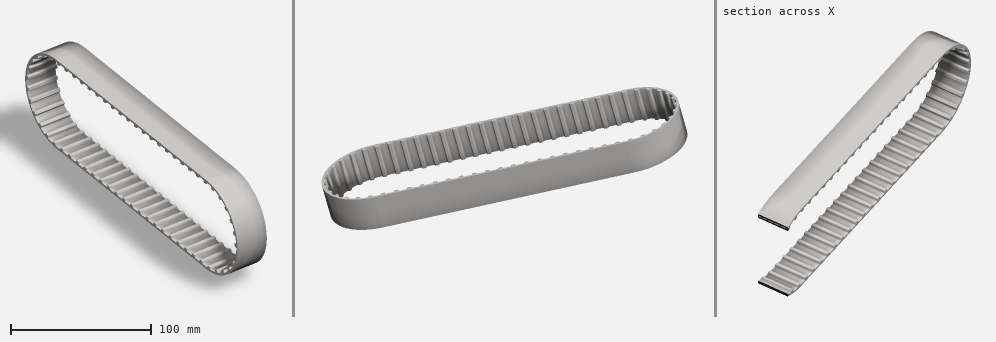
import cadquery as cq
import math

LENGTH = 261.3
HEIGHT = 76.3
WIDTH = 25.3
BACKING = 1.7

TOOTH_COUNT = 63
TOOTH_HEIGHT = 1.9
TOOTH_ROOT_WIDTH = 4.0
TOOTH_FLANK_ANGLE = 20.0
TOOTH_FILLET = 0.5
FOOT_DEPTH = 0.8
FOOT_MARGIN = 1.0

outer_radius = HEIGHT / 2
inner_radius = outer_radius - BACKING
run_length = LENGTH - HEIGHT
half_run = run_length / 2
arc_length = math.pi * inner_radius
pitch = (2 * run_length + 2 * arc_length) / TOOTH_COUNT


def stadium(radius):
    """Solid loop shape across the belt width, centred on the origin."""
    return (
        cq.Workplane("XZ")
        .slot2D(run_length + 2 * radius, 2 * radius)
        .extrude(WIDTH / 2, both=True)
    )


def place_on_loop(distance):
    """Point (x, z) on the inner face and turn in degrees, measured from the
    middle of the bottom run, counter-clockwise as seen from -Y. A negative distance
    runs the other way. Distances are at most half a loop."""
    side = math.copysign(1, distance)
    travel = abs(distance)
    if travel <= half_run:
        return side * travel, -inner_radius, 0.0
    if travel <= half_run + arc_length:
        turn = (travel - half_run) / inner_radius
        x = half_run + inner_radius * math.sin(turn)
        z = -inner_radius * math.cos(turn)
        return side * x, z, side * math.degrees(turn)
    x = run_length + arc_length - travel
    return side * x, inner_radius, 180.0


def make_tooth():
    """Tooth pointing up (+Z) on a thin foot, with its root centred on the origin."""
    half_root = TOOTH_ROOT_WIDTH / 2
    half_tip = half_root - TOOTH_HEIGHT * math.tan(math.radians(TOOTH_FLANK_ANGLE))
    half_foot = half_root + FOOT_MARGIN
    outline = [
        (-half_foot, -FOOT_DEPTH),
        (half_foot, -FOOT_DEPTH),
        (half_foot, 0),
        (half_root, 0),
        (half_tip, TOOTH_HEIGHT),
        (-half_tip, TOOTH_HEIGHT),
        (-half_root, 0),
        (-half_foot, 0),
    ]
    tooth = cq.Workplane("XZ").polyline(outline).close().extrude(WIDTH / 2, both=True)
    tooth = tooth.edges("|Y and >Z").fillet(TOOTH_FILLET)
    root_corners = [(-half_root, 0, 0), (half_root, 0, 0)]
    for corner in root_corners:
        tooth = tooth.edges(cq.selectors.NearestToPointSelector(corner)).fillet(TOOTH_FILLET)
    return tooth


def placed_teeth():
    """All teeth at equal pitch, with one of them in the middle of the bottom run."""
    tooth = make_tooth().val()
    teeth = []
    teeth_per_side = TOOTH_COUNT // 2
    for index in range(-teeth_per_side, teeth_per_side + 1):
        x, z, turn = place_on_loop(index * pitch)
        turned = tooth.rotate(cq.Vector(0, 0, 0), cq.Vector(0, 1, 0), -turn)
        teeth.append(turned.translate(cq.Vector(x, 0, z)))
    return teeth


band = stadium(outer_radius).cut(stadium(inner_radius))
result = cq.Workplane("XY").newObject([band.val().fuse(*placed_teeth())]).clean()